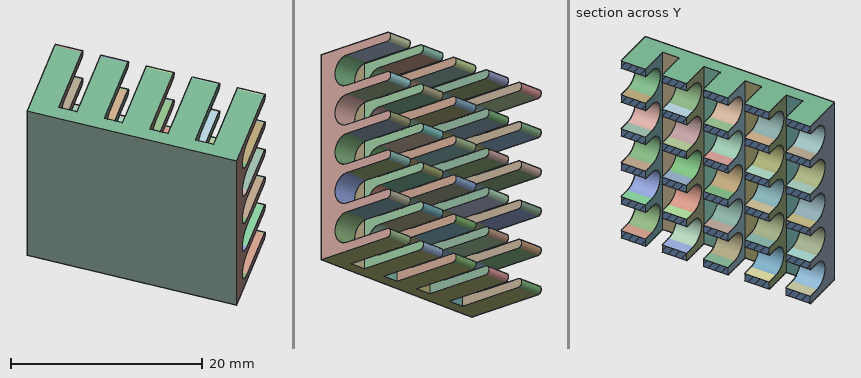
import cadquery as cq

side = 23.0
height = 10.0

channel_count = 5
channel_width = 3.4
channel_floor = 2.0
fin_thickness = (side - channel_count * channel_width) / (channel_count + 1)
tip_radius = fin_thickness / 2

slot_count = 4
slot_width = 2.0
slot_floor = 1.5
fin_width = (side - slot_count * slot_width) / (slot_count + 1)


def finned_profile():
    """Draw the YZ section: a plate with rounded-tip fins and round-bottomed channels."""
    tip_start = height - tip_radius
    channel_radius = channel_width / 2
    channel_arc_start = channel_floor + channel_radius

    profile = cq.Workplane("YZ").moveTo(0, 0).lineTo(tip_start, 0)
    for index in range(channel_count + 1):
        fin_bottom = index * (fin_thickness + channel_width)
        fin_top = fin_bottom + fin_thickness
        profile = profile.threePointArc((height, fin_bottom + tip_radius), (tip_start, fin_top))
        if index < channel_count:
            next_fin = fin_top + channel_width
            profile = (
                profile.lineTo(channel_arc_start, fin_top)
                .threePointArc((channel_floor, fin_top + channel_radius), (channel_arc_start, next_fin))
                .lineTo(tip_start, next_fin)
            )
    return profile.lineTo(0, side).close()


def cross_slot(index):
    """Return the block that removes one slot, counted from the -X side."""
    slot_start = fin_width + index * (fin_width + slot_width)
    slot = cq.Workplane("XY").box(slot_width, height - slot_floor, side, centered=False)
    return slot.translate((slot_start, slot_floor, 0))


result = finned_profile().extrude(side)
for slot_index in range(slot_count):
    result = result.cut(cross_slot(slot_index))